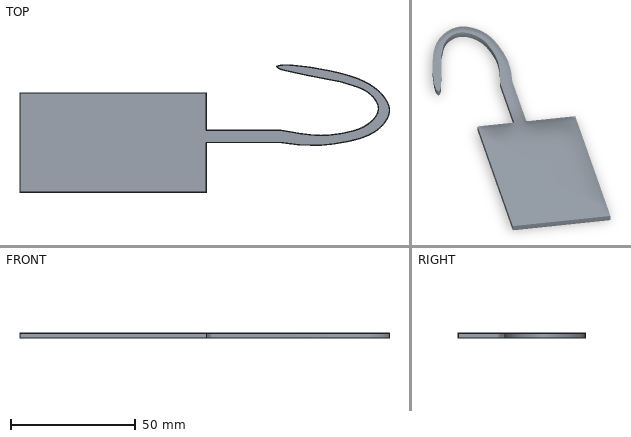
import cadquery as cq

thickness = 2.0

plate_length = 75.0
plate_width = 40.0

strap_length = 30.0
strap_width = 5.0
strap_bottom = plate_width / 2
strap_top = strap_bottom + strap_width
strap_end = plate_length + strap_length

hook_right = 148.7
hook_top = 51.27
hook_tip = (103.2, 50.6)

hook_outer_points = [
    (112.0, 19.1),
    (121.5, 18.95),
    (131.8, 20.4),
    (140.5, 23.1),
    (146.2, 27.4),
    (hook_right, 33.0),
    (146.6, 38.2),
    (140.6, 43.5),
    (129.1, 47.9),
    (115.7, 50.5),
    (106.5, hook_top),
    (104.6, 51.1),
]

hook_inner_points = [
    (104.6, 49.6),
    (107.6, 48.8),
    (115.7, 47.0),
    (125.6, 45.2),
    (134.5, 42.8),
    (140.6, 39.7),
    (144.2, 33.6),
    (139.9, 27.4),
    (131.8, 24.2),
    (121.1, 22.95),
    (112.0, 23.8),
]


def make_plate():
    """Rectangular plate of the tag."""
    return cq.Workplane("XY").box(plate_length, plate_width, thickness, centered=False)


def make_strap_and_hook():
    """Straight strap leaving the plate's right side and curling into the hook."""
    strap_end_top = (strap_end, strap_top)
    return (
        cq.Workplane("XY")
        .moveTo(plate_length, strap_bottom)
        .lineTo(strap_end, strap_bottom)
        .spline(hook_outer_points + [hook_tip], includeCurrent=True)
        .spline(hook_inner_points + [strap_end_top], includeCurrent=True)
        .lineTo(plate_length, strap_top)
        .close()
        .extrude(thickness)
    )


result = make_plate().union(make_strap_and_hook())